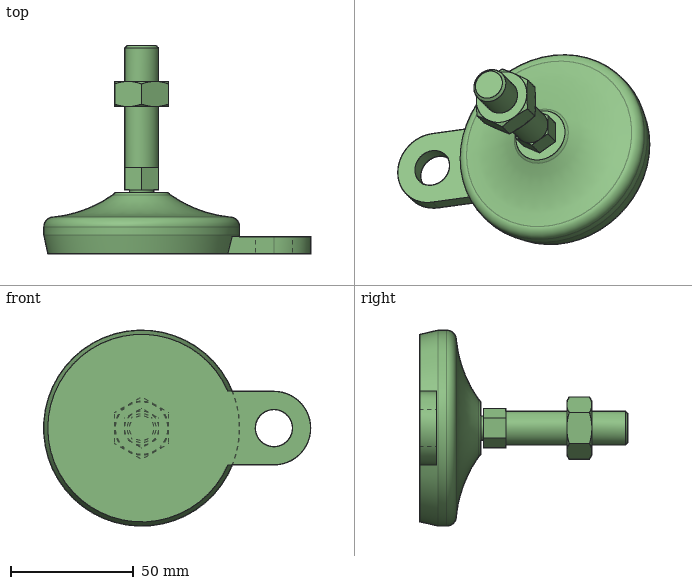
import cadquery as cq
import math

base_radius = 40.0
base_bottom_radius = 38.3
taper_height = 7.6
rim_top = 11.0
rim_rounding = 4.0
shoulder_height = rim_top + rim_rounding
shoulder_radius = base_radius - rim_rounding
hub_radius = 10.7
hub_height = 25.1
hub_edge_radius = 11.8
hub_edge_height = 24.1
flare_mid_radius = 19.4
flare_mid_height = 19.6

lug_radius = 15.0
lug_hole_diameter = 15.0
lug_thickness = 7.0
overall_length = 109.0
lug_center_x = overall_length - base_radius - lug_radius

stem_diameter = 14.0
stem_end = 85.0
stem_chamfer = 1.1
neck_diameter = 10.0
hex_start = 26.0
hex_end = 35.2
hex_across_flats = stem_diameter
nut_start = 60.1
nut_end = 70.3
nut_across_flats = 22.0
nut_chamfer_angle = 30.0


def plane_at(height):
    """Sketch plane facing +Y, with local x along +Z and local y along +X."""
    return cq.Workplane(cq.Plane(origin=(0, height, 0), xDir=(0, 0, 1), normal=(0, 1, 0)))


def cylinder(diameter, start, end):
    return plane_at(start).circle(diameter / 2).extrude(end - start)


def hexagon(across_flats, start, end):
    """Hexagonal prism with flats facing +X and -X and corners along Z."""
    across_corners = across_flats / math.cos(math.pi / 6)
    return plane_at(start).polygon(6, across_corners).extrude(end - start)


def make_base():
    diagonal = rim_rounding * math.sqrt(0.5)
    profile = (
        cq.Workplane("XY")
        .lineTo(base_bottom_radius, 0)
        .lineTo(base_radius, taper_height)
        .lineTo(base_radius, rim_top)
        .threePointArc(
            (shoulder_radius + diagonal, rim_top + diagonal),
            (shoulder_radius, shoulder_height),
        )
        .threePointArc((flare_mid_radius, flare_mid_height), (hub_edge_radius, hub_edge_height))
        .lineTo(hub_radius, hub_height)
        .lineTo(0, hub_height)
        .close()
    )
    return profile.revolve(360, (0, 0, 0), (0, 1, 0))


def make_lug():
    return (
        plane_at(0)
        .moveTo(-lug_radius, 0)
        .lineTo(-lug_radius, lug_center_x)
        .threePointArc((0, lug_center_x + lug_radius), (lug_radius, lug_center_x))
        .lineTo(lug_radius, 0)
        .close()
        .extrude(lug_thickness)
    )


def make_stem():
    neck = cylinder(neck_diameter, hub_height, hex_start)
    wrench_hex = hexagon(hex_across_flats, hex_start, hex_end)
    rod = cylinder(stem_diameter, hex_end, stem_end).faces(">Y").chamfer(stem_chamfer)
    return neck.union(wrench_hex).union(rod)


def make_nut():
    """Hexagon nut whose corners are trimmed by a cone at each end."""
    face_radius = nut_across_flats / 2
    corner_radius = face_radius / math.cos(math.pi / 6)
    chamfer_height = (corner_radius - face_radius) * math.tan(math.radians(nut_chamfer_angle))
    envelope = (
        cylinder(2 * corner_radius, nut_start, nut_end)
        .faces("<Y or >Y")
        .edges()
        .chamfer(chamfer_height, corner_radius - face_radius)
    )
    return hexagon(nut_across_flats, nut_start, nut_end).intersect(envelope)


lug_hole = (
    plane_at(0).center(0, lug_center_x).circle(lug_hole_diameter / 2).extrude(lug_thickness)
)
result = make_base().union(make_lug()).cut(lug_hole).union(make_stem()).union(make_nut())